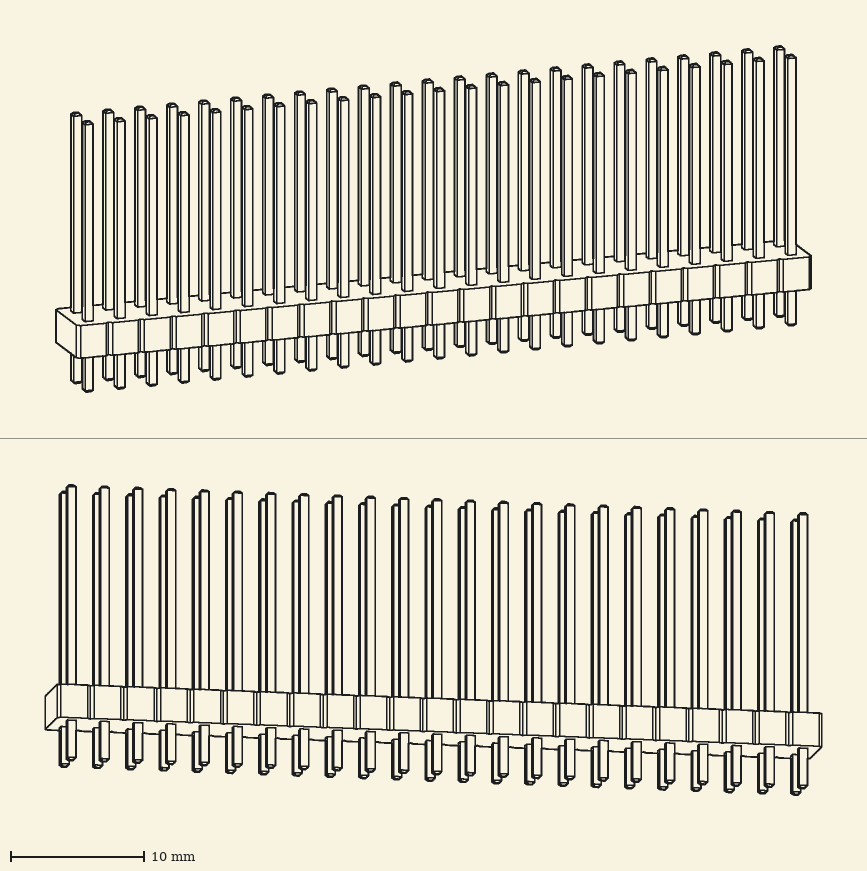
import cadquery as cq

PITCH = 2.54
COLUMNS = 2
ROWS = 23

BODY_HEIGHT = PITCH
BODY_WIDTH = COLUMNS * PITCH
CELL_CHAMFER = PITCH / 10

PIN_WIDTH = 0.64
PIN_LENGTH = 21.0
PIN_TAIL = 3.0
PIN_TIP_CHAMFER = PIN_WIDTH / 4


def centred_positions(count):
    """Coordinates of `count` places one pitch apart, centred on zero."""
    return [(i - (count - 1) / 2) * PITCH for i in range(count)]


def make_cell():
    """One row of the body: a block with its four vertical corners chamfered."""
    return (
        cq.Workplane("XY")
        .box(BODY_WIDTH, PITCH, BODY_HEIGHT, centered=(True, True, False))
        .edges("|Z")
        .chamfer(CELL_CHAMFER)
    )


def make_pin():
    """A square pin with both tips chamfered on all four sides."""
    return (
        cq.Workplane("XY")
        .workplane(offset=-PIN_TAIL)
        .box(PIN_WIDTH, PIN_WIDTH, PIN_LENGTH, centered=(True, True, False))
        .faces("<Z or >Z")
        .chamfer(PIN_TIP_CHAMFER)
    )


def make_header():
    """Cells joined end to end, with a pin through every grid place."""
    cell = make_cell().val()
    pin = make_pin().val()
    cells = [cell.translate(cq.Vector(0, y, 0)) for y in centred_positions(ROWS)]
    pins = [
        pin.translate(cq.Vector(x, y, 0))
        for x in centred_positions(COLUMNS)
        for y in centred_positions(ROWS)
    ]
    body = cells[0].fuse(*cells[1:]).clean()
    return body.fuse(*pins).Solids()[0]


result = cq.Workplane("XY").newObject([make_header()])